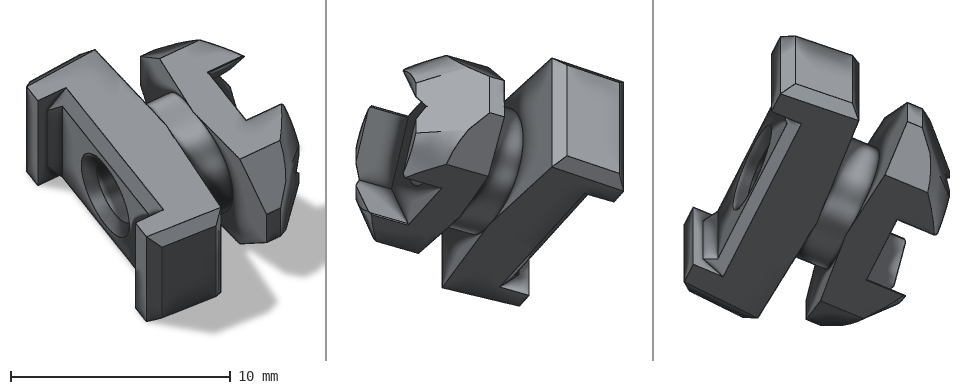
import cadquery as cq

height = 6.0
length = 9.5
half_height = height / 2
bore_diameter = 3.2
neck_diameter = height
bevel = 0.5

block_front_half_width = 5.74
block_rear_half_width = 6.0
block_corner_y = 3.77
block_peak_y = 4.24
recess_half_width = 4.26
recess_floor_y = 2 * bevel

head_half_width = 5.51
head_peak_y = 5.69
head_corner_y = 6.24
head_shoulder_y = 6.99
head_corner_cut = 2.0
head_cone_end_radius = 3.3
pocket_depth = 2.0
hexagon_corner_diameter = 6.73


def prism_along_z(points):
    """Extrude an XY outline over the full height, centred on Z = 0."""
    return cq.Workplane("XY").polyline(points).close().extrude(half_height, both=True)


def revolve_about_bore(points):
    """Revolve a (radius, Y) outline about the bore axis."""
    return cq.Workplane("XY").polyline(points).close().revolve(360, (0, 0, 0), (0, 1, 0))


def make_block():
    """Tapered block with a peaked rear face and bevelled side faces."""
    block = prism_along_z([
        (-block_front_half_width, 0),
        (block_front_half_width, 0),
        (block_rear_half_width, block_corner_y),
        (0, block_peak_y),
        (-block_rear_half_width, block_corner_y),
    ])
    for side in ("<X", ">X"):
        block = block.faces(side).edges().chamfer(bevel)
    return block


def make_recess():
    """Front recess: bevels rise to the side walls and fall to the top and bottom."""
    floor_half_width = recess_half_width - bevel
    recess = prism_along_z([
        (-recess_half_width, 0),
        (recess_half_width, 0),
        (recess_half_width, recess_floor_y - bevel),
        (floor_half_width, recess_floor_y),
        (-floor_half_width, recess_floor_y),
        (-recess_half_width, recess_floor_y - bevel),
    ])
    bevel_start_z = half_height - bevel - recess_floor_y
    for direction in (-1, 1):
        edge_bevel = (
            cq.Workplane("YZ")
            .polyline([
                (0, direction * bevel_start_z),
                (0, direction * half_height),
                (recess_floor_y + bevel, direction * half_height),
            ])
            .close()
            .extrude(recess_half_width, both=True)
        )
        recess = recess.union(edge_bevel)
    return recess


def make_head():
    """Arrow-shaped head with cut corners, conical nose and nut pocket."""
    shoulder_rise = length - head_shoulder_y
    nose_half_width = head_half_width - shoulder_rise
    head = prism_along_z([
        (0, head_peak_y),
        (head_half_width, head_corner_y),
        (head_half_width, head_shoulder_y),
        (nose_half_width, length),
        (-nose_half_width, length),
        (-head_half_width, head_shoulder_y),
        (-head_half_width, head_corner_y),
    ])

    corner_profile = (
        cq.Workplane("XZ")
        .rect(2 * head_half_width, height)
        .extrude(-length)
        .edges("|Y")
        .chamfer(head_corner_cut)
    )
    cone = revolve_about_bore([
        (0, 0),
        (head_cone_end_radius + length, 0),
        (head_cone_end_radius, length),
        (0, length),
    ])
    pocket_floor = cq.Workplane("XZ", origin=(0, length - pocket_depth, 0))
    hexagon = pocket_floor.polygon(6, hexagon_corner_diameter).extrude(-pocket_depth)
    slot = pocket_floor.rect(hexagon_corner_diameter / 2, height).extrude(-pocket_depth)
    return head.intersect(corner_profile).intersect(cone).cut(hexagon).cut(slot)


def make_neck():
    """Round neck reaching into the block and the head."""
    neck_start_y = block_corner_y - bevel
    neck_end_y = head_shoulder_y
    return (
        cq.Workplane("XZ", origin=(0, neck_start_y, 0))
        .circle(neck_diameter / 2)
        .extrude(-(neck_end_y - neck_start_y))
    )


def make_bore():
    """Through bore with a 45 degree countersink at the recess floor."""
    bore_radius = bore_diameter / 2
    return revolve_about_bore([
        (0, 0),
        (bore_radius + bevel, 0),
        (bore_radius + bevel, recess_floor_y),
        (bore_radius, recess_floor_y + bevel),
        (bore_radius, length),
        (0, length),
    ])


block = make_block().cut(make_recess())
result = block.union(make_neck()).union(make_head()).cut(make_bore())